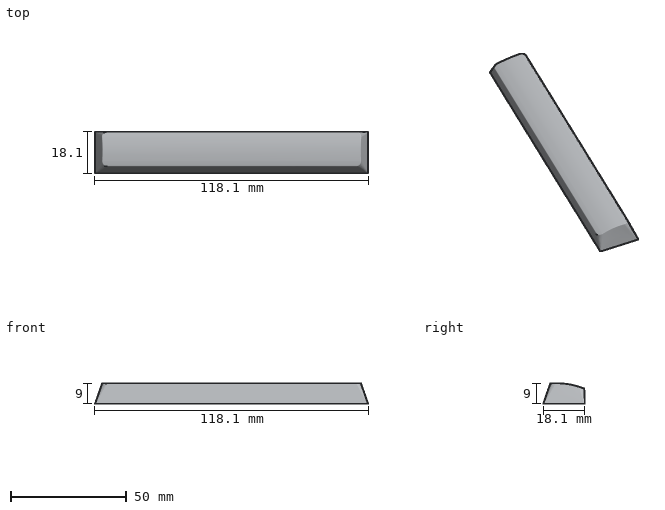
import cadquery as cq
import math

length = 118.1
depth = 18.1
height = 9.0
base_corner_radius = 0.5

end_inset = 2.5
front_inset = 2.6
rear_inset = 0.2
front_rim_height = 7.5
rear_rim_height = 5.8
rim_corner_radius = 1.8

crest_y = -3.3
top_radius = 31.9
top_edge_radius = 0.4

overrun = 1.4


def rounded_outline(plane, size_x, size_y, radius):
    """Rounded rectangle wire centred on the plane's origin."""
    blank_height = 1.2
    sharp_box = cq.Workplane(plane).box(size_x, size_y, blank_height, centered=(True, True, False))
    upright_edges = sharp_box.edges(cq.selectors.ParallelDirSelector(plane.zDir))
    lowest_face = cq.selectors.DirectionMinMaxSelector(plane.zDir, False)
    return upright_edges.fillet(radius).faces(lowest_face).wires().val()


def tapered_body():
    """Ruled loft from the flat base to a rounder outline tilted down towards the rear."""
    front_y = -depth / 2 + front_inset * overrun
    rear_y = depth / 2 - rear_inset * overrun
    front_z = front_rim_height * overrun
    rear_z = rear_rim_height * overrun
    run = rear_y - front_y
    rise = rear_z - front_z

    tilted_plane = cq.Plane(
        origin=(0, (front_y + rear_y) / 2, (front_z + rear_z) / 2),
        xDir=(1, 0, 0),
        normal=(0, -rise, run),
    )
    base = rounded_outline(cq.Plane.XY(), length, depth, base_corner_radius)
    upper = rounded_outline(
        tilted_plane,
        length - 2 * end_inset * overrun,
        math.hypot(run, rise),
        rim_corner_radius * overrun,
    )
    return cq.Workplane(obj=cq.Solid.makeLoft([base, upper], True))


def top_cylinder():
    """Cylinder along X whose upper side is the top of the cap."""
    return (
        cq.Workplane("YZ")
        .center(crest_y, height - top_radius)
        .circle(top_radius)
        .extrude(length, both=True)
    )


body = tapered_body().intersect(top_cylinder())
top_face = cq.selectors.NearestToPointSelector((0, crest_y, height))
result = body.faces(top_face).edges().fillet(top_edge_radius)